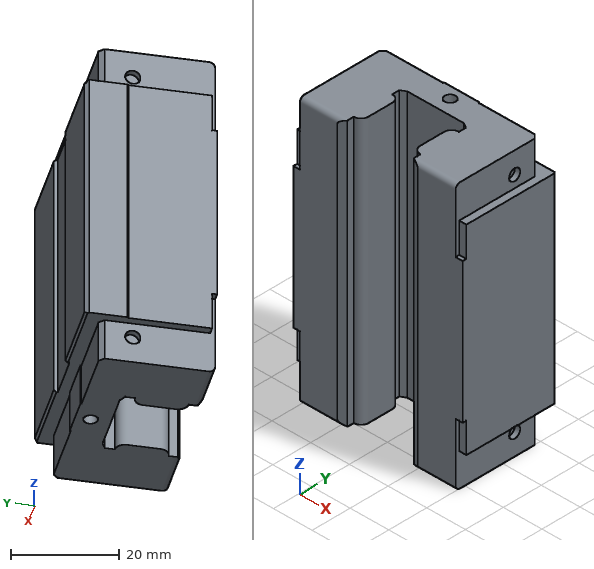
import cadquery as cq
import math

length = 69.0
width = 44.0
height = 25.0

block_length = 51.9
block_chamfer = 0.75
block_end_chamfer = 0.5
datum_step = 0.2
datum_step_height = 16.9
datum_step_slope = 0.3
back_groove_width = 9.95
back_groove_depth = 0.75

cap_width = 40.3
cap_height = 21.9
cap_chamfer = 1.0
cap_ridge_width = 9.25
cap_ridge_height = 0.2
cap_end_fillet = 1.25
strip_thickness = 1.0
strip_overlap = 7.7

slot_depth = 15.25
slot_half_width = 8.6
slot_corner = 1.3
slot_corner_height = 0.75
land_half_width = 6.7
land_bottom = 2.5
land_top = 12.6
land_radius = slot_half_width - land_half_width
mouth_half_width = 10.4
mouth_height = 0.75

side_hole_diameter = 2.9
side_hole_depth = 1.4
side_hole_height = 15.6
side_hole_end_distance = 5.5
end_hole_diameter = 2.75
end_hole_depth = 2.1
end_hole_height = 19.1
end_hole_tip_length = 0.8


def centred_box(size_x, size_y, size_z, bottom_y=0.0):
    """Box centred on X and Z that stands on the plane Y = bottom_y."""
    box = cq.Workplane("XY").box(size_x, size_y, size_z, centered=(True, False, True))
    return box.translate((0, bottom_y, 0))


def make_block():
    block = centred_box(width, height, block_length)
    block = block.edges("|Z and >Y").chamfer(block_chamfer)
    block = block.faces(">Y").edges("|X").chamfer(block_end_chamfer)
    groove = centred_box(back_groove_width, back_groove_depth, block_length, height - back_groove_depth)
    block = block.cut(groove)

    flank = -width / 2
    step = (
        cq.Workplane("XY", origin=(0, 0, -block_length / 2))
        .moveTo(flank, 0)
        .lineTo(flank + datum_step, 0)
        .lineTo(flank + datum_step, datum_step_height - datum_step_slope / 2)
        .lineTo(flank, datum_step_height + datum_step_slope / 2)
        .close()
        .extrude(block_length)
    )
    block = block.cut(step)

    notch_width = (width - cap_width) / 2
    for side in (-1, 1):
        for end in (-1, 1):
            notch = centred_box(notch_width, strip_thickness, strip_overlap)
            notch_x = side * (width - notch_width) / 2
            notch_z = end * (block_length - strip_overlap) / 2
            block = block.cut(notch.translate((notch_x, 0, notch_z)))
    return block


def make_caps():
    """Both end caps as one full-length body; its middle lies inside the block."""
    caps = centred_box(cap_width, cap_height, length)
    caps = caps.edges("|Z and >Y").chamfer(cap_chamfer)
    caps = caps.edges("|X and <Y").fillet(cap_end_fillet)
    ridge = centred_box(cap_ridge_width, cap_ridge_height, length, cap_height)
    return caps.union(ridge)


def make_rail_slot():
    """Rail clearance with a rounded land on each wall and a flared mouth."""
    arc_inset = land_radius * (1 - math.sqrt(0.5))
    arc_mid_x = land_half_width + arc_inset
    half = (
        cq.Workplane("XY", origin=(0, 0, -length / 2))
        .moveTo(0, 0)
        .lineTo(mouth_half_width, 0)
        .lineTo(slot_half_width, mouth_height)
        .lineTo(slot_half_width, land_bottom)
        .threePointArc((arc_mid_x, land_bottom + arc_inset), (land_half_width, land_bottom + land_radius))
        .lineTo(land_half_width, land_top - land_radius)
        .threePointArc((arc_mid_x, land_top - arc_inset), (slot_half_width, land_top))
        .lineTo(slot_half_width, slot_depth - slot_corner_height)
        .lineTo(slot_half_width - slot_corner, slot_depth)
        .lineTo(0, slot_depth)
        .close()
        .extrude(length)
    )
    return half.union(half.mirror("YZ"))


def make_end_hole():
    """Blind hole bored down from the +Z end, with a conical bottom."""
    radius = end_hole_diameter / 2
    floor_z = length / 2 - end_hole_depth
    half_section = (
        cq.Workplane("XZ")
        .moveTo(0, length / 2)
        .lineTo(radius, length / 2)
        .lineTo(radius, floor_z)
        .lineTo(0, floor_z - end_hole_tip_length)
        .close()
    )
    hole = half_section.revolve(360, (0, 0, 0), (0, 1, 0))
    return hole.translate((0, end_hole_height, 0))


def make_side_hole():
    """Flat-bottomed hole in the -X side of the upper cap."""
    hole_z = length / 2 - side_hole_end_distance
    plane = cq.Workplane("YZ", origin=(-cap_width / 2, side_hole_height, hole_z))
    return plane.circle(side_hole_diameter / 2).extrude(side_hole_depth)


def drill_grease_holes(body):
    end_hole = make_end_hole()
    body = body.cut(end_hole).cut(end_hole.mirror("XY"))
    left_hole = make_side_hole()
    for hole in (left_hole, left_hole.mirror("YZ")):
        body = body.cut(hole).cut(hole.mirror("XY"))
    return body


carriage = make_block().union(make_caps()).cut(make_rail_slot())
result = drill_grease_holes(carriage)